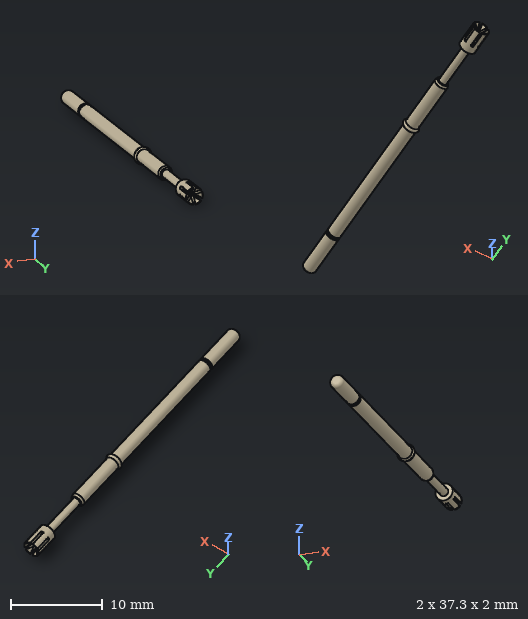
import cadquery as cq

LENGTH = 37.3
CROWN_Y = LENGTH / 2
TIP_Y = -LENGTH / 2

HEAD_RADIUS = 1.0
HEAD_LENGTH = 3.0
CONE_RADIUS = 0.95
CONE_DEPTH = CONE_RADIUS
SLOT_WIDTH = 0.3
SLOT_DEPTH = 2.0
SLOT_COUNT = 3

SHAFT_RADIUS = HEAD_RADIUS / 2
SHAFT_LENGTH = 5.25

BARREL_RADIUS = 0.82
MOUTH_RADIUS = 0.7
MOUTH_LENGTH = 0.35
TIP_FLAT_RADIUS = 0.37
DOME_LENGTH = 0.52
DOME_BULGE = 0.155

RING_RADIUS = 1.0
RING_WIDTH = 0.52
RING_CENTRE_Y = 3.58

GROOVE_RADIUS = 0.67
GROOVE_TOP_Y = -12.98
GROOVE_BOTTOM_Y = -13.3
LEDGE_DEPTH = 0.095
LEDGE_RADIUS = BARREL_RADIUS - LEDGE_DEPTH
LEDGE_WIDTH = 0.07

HEAD_BASE_Y = CROWN_Y - HEAD_LENGTH
MOUTH_Y = HEAD_BASE_Y - SHAFT_LENGTH
RING_TOP_Y = RING_CENTRE_Y + RING_WIDTH / 2
RING_BOTTOM_Y = RING_CENTRE_Y - RING_WIDTH / 2
LEDGE_Y = GROOVE_BOTTOM_Y + LEDGE_WIDTH
CHANNEL_MIDDLE_Y = (GROOVE_TOP_Y + LEDGE_Y) / 2


def make_pin():
    """Revolve the half outline of head, shaft and barrel about Y."""
    head_and_shaft = (
        cq.Workplane("XY")
        .moveTo(0, CROWN_Y - CONE_DEPTH)
        .lineTo(CONE_RADIUS, CROWN_Y)
        .lineTo(HEAD_RADIUS, CROWN_Y)
        .lineTo(HEAD_RADIUS, HEAD_BASE_Y)
        .lineTo(SHAFT_RADIUS, HEAD_BASE_Y)
        .lineTo(SHAFT_RADIUS, MOUTH_Y)
    )
    barrel_to_ring = (
        head_and_shaft.lineTo(MOUTH_RADIUS, MOUTH_Y)
        .lineTo(BARREL_RADIUS, MOUTH_Y - MOUTH_LENGTH)
        .lineTo(BARREL_RADIUS, RING_TOP_Y)
        .threePointArc((RING_RADIUS, RING_CENTRE_Y), (BARREL_RADIUS, RING_BOTTOM_Y))
    )
    barrel_to_groove = (
        barrel_to_ring.lineTo(BARREL_RADIUS, GROOVE_TOP_Y)
        .threePointArc((GROOVE_RADIUS, CHANNEL_MIDDLE_Y), (LEDGE_RADIUS, LEDGE_Y))
        .lineTo(LEDGE_RADIUS, GROOVE_BOTTOM_Y)
        .lineTo(BARREL_RADIUS, GROOVE_BOTTOM_Y)
    )
    outline = (
        barrel_to_groove.lineTo(BARREL_RADIUS, TIP_Y + DOME_LENGTH)
        .sagittaArc((TIP_FLAT_RADIUS, TIP_Y), DOME_BULGE)
        .lineTo(0, TIP_Y)
        .close()
    )
    return outline.revolve(360, (0, 0, 0), (0, 1, 0))


def cut_crown_slots(pin):
    """Cut equally spaced slots across the head, the first one along Z."""
    slot = cq.Workplane("XY").box(SLOT_WIDTH, SLOT_DEPTH, 2 * HEAD_RADIUS)
    slot = slot.translate((0, CROWN_Y - SLOT_DEPTH / 2, 0))
    for index in range(SLOT_COUNT):
        angle = index * 180 / SLOT_COUNT
        pin = pin.cut(slot.rotate((0, 0, 0), (0, 1, 0), angle))
    return pin


result = cut_crown_slots(make_pin())